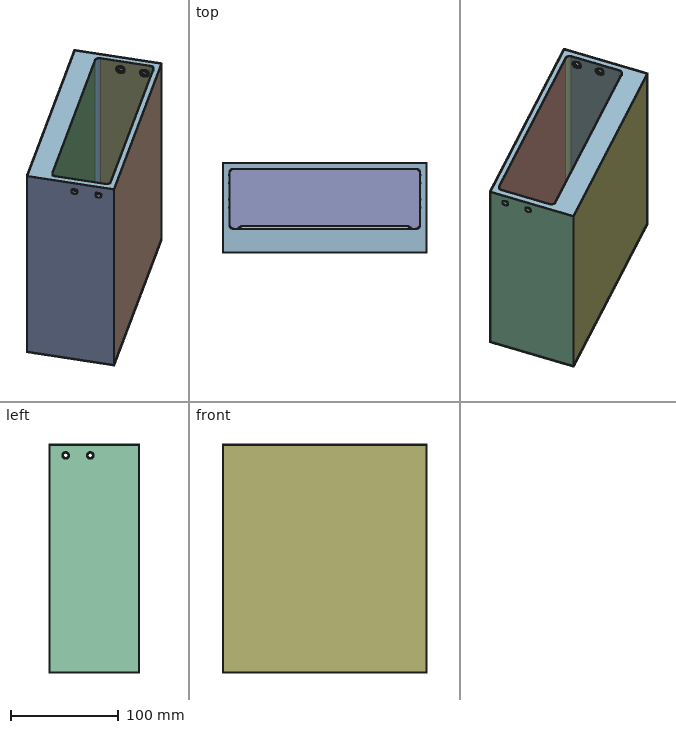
import cadquery as cq

width = 189.4
depth = 83.3
height = 212.0

side_wall = 6.0
back_wall = 5.5
front_wall = 22.0
floor_thickness = 6.0
corner_radius = 4.0

ramp_size = 2.5
ramp_end_gap = 7.6
ramp_end_run = 3.8

hole_diameter = 5.5
countersink_depth = 1.3
hole_drop = 10.0
hole_from_back = 15.0
hole_spacing = 23.0

pocket_width = width - 2 * side_wall
pocket_front = front_wall - depth / 2
pocket_back = depth / 2 - back_wall


def make_pocket():
    """Rounded rectangular cavity, open at the top."""
    pocket_depth = pocket_back - pocket_front
    return (
        cq.Workplane("XY", origin=(0, (pocket_front + pocket_back) / 2, floor_thickness))
        .rect(pocket_width, pocket_depth)
        .extrude(height - floor_thickness)
        .edges("|Z")
        .fillet(corner_radius)
    )


def make_ramp():
    """45 degree wedge along the foot of the front wall, with slanted ends."""
    half_length = pocket_width / 2 - ramp_end_gap
    wedge = (
        cq.Workplane("YZ", origin=(-half_length, pocket_front, floor_thickness))
        .polyline([(0, 0), (ramp_size, 0), (0, ramp_size)])
        .close()
        .extrude(2 * half_length)
    )
    plan = (
        cq.Workplane("XY", origin=(0, pocket_front, floor_thickness))
        .polyline(
            [
                (-half_length, 0),
                (half_length, 0),
                (half_length - ramp_end_run, ramp_size),
                (ramp_end_run - half_length, ramp_size),
            ]
        )
        .close()
        .extrude(ramp_size)
    )
    return wedge.intersect(plan)


def make_cross_holes():
    """Two holes along X through both side walls, countersunk on the pocket side."""
    first_y = depth / 2 - hole_from_back
    hole_z = height - hole_drop
    sink_radius = hole_diameter / 2 + countersink_depth
    holes = cq.Workplane("XY")
    for y in (first_y, first_y - hole_spacing):
        drill = cq.Solid.makeCylinder(
            hole_diameter / 2, width, cq.Vector(-width / 2, y, hole_z), cq.Vector(1, 0, 0)
        )
        holes = holes.add(drill)
        for side in (-1, 1):
            sink = cq.Solid.makeCone(
                sink_radius,
                hole_diameter / 2,
                countersink_depth,
                cq.Vector(side * pocket_width / 2, y, hole_z),
                cq.Vector(side, 0, 0),
            )
            holes = holes.add(sink)
    return holes.combine()


block = cq.Workplane("XY").box(width, depth, height, centered=(True, True, False))
result = block.cut(make_pocket()).union(make_ramp()).cut(make_cross_holes())